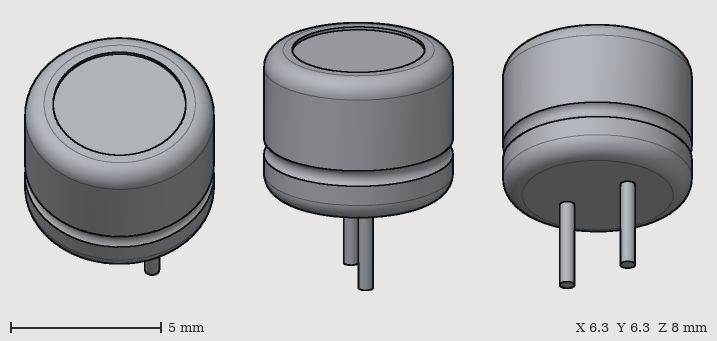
import cadquery as cq

can_diameter = 6.3
can_height = 5.0
edge_radius = 0.63
can_radius = can_diameter / 2

groove_height = 1.58
groove_width = 0.54
groove_depth = 0.16

recess_diameter = 4.42
recess_depth = 0.1

lead_diameter = 0.5
lead_length = 3.0
lead_pitch = 2.5


def make_can():
    """Revolve the grooved can, standing on top of its leads, then round its rims."""
    groove_bottom = groove_height - groove_width / 2
    groove_top = groove_height + groove_width / 2
    profile = (
        cq.Workplane("XZ")
        .lineTo(can_radius, 0)
        .lineTo(can_radius, groove_bottom)
        .threePointArc((can_radius - groove_depth, groove_height), (can_radius, groove_top))
        .lineTo(can_radius, can_height)
        .lineTo(0, can_height)
        .close()
    )
    can = profile.revolve(360, (0, 0, 0), (0, 1, 0))
    return can.faces("<Z or >Z").edges().fillet(edge_radius)


def make_recess():
    return (
        cq.Workplane("XY", origin=(0, 0, can_height - recess_depth))
        .circle(recess_diameter / 2)
        .extrude(recess_depth)
    )


def make_leads():
    return (
        cq.Workplane("XY")
        .pushPoints([(-lead_pitch / 2, 0), (lead_pitch / 2, 0)])
        .circle(lead_diameter / 2)
        .extrude(-lead_length)
    )


result = make_can().cut(make_recess()).union(make_leads())